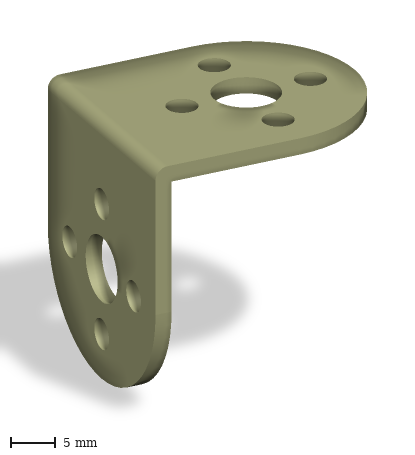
import cadquery as cq

width = 27.0
leg_length = 31.5
thickness = 2.0
bend_radius = 1.5
center_hole_diameter = 8.0
mount_hole_diameter = 3.7
mount_circle_radius = 8.0
mount_hole_count = 4

end_radius = width / 2
hole_center_distance = leg_length - end_radius


def make_leg():
    """Flat leg on the XY plane: square at the bend (Y = 0), round at the free end."""
    plate = (
        cq.Workplane("XY")
        .moveTo(-end_radius, 0)
        .lineTo(end_radius, 0)
        .lineTo(end_radius, hole_center_distance)
        .threePointArc((0, leg_length), (-end_radius, hole_center_distance))
        .close()
        .extrude(-thickness)
    )
    pattern = cq.Workplane("XY").center(0, hole_center_distance)
    center_hole = pattern.circle(center_hole_diameter / 2).extrude(-thickness)
    mount_holes = (
        pattern.polarArray(mount_circle_radius, 0, 360, mount_hole_count)
        .circle(mount_hole_diameter / 2)
        .extrude(-thickness)
    )
    return plate.cut(center_hole).cut(mount_holes)


def make_bracket():
    """Two equal legs at a right angle, with the outer bend edge on the X axis."""
    top_leg = make_leg()
    front_leg = make_leg().rotate((0, 0, 0), (1, 0, 0), -90).mirror("XZ")
    return top_leg.union(front_leg)


def round_bend(bracket):
    """Round the outer edge of the bend; the inner corner stays sharp."""
    outer_bend_edge = cq.selectors.NearestToPointSelector((0, 0, 0))
    return bracket.edges(outer_bend_edge).fillet(bend_radius)


result = round_bend(make_bracket())